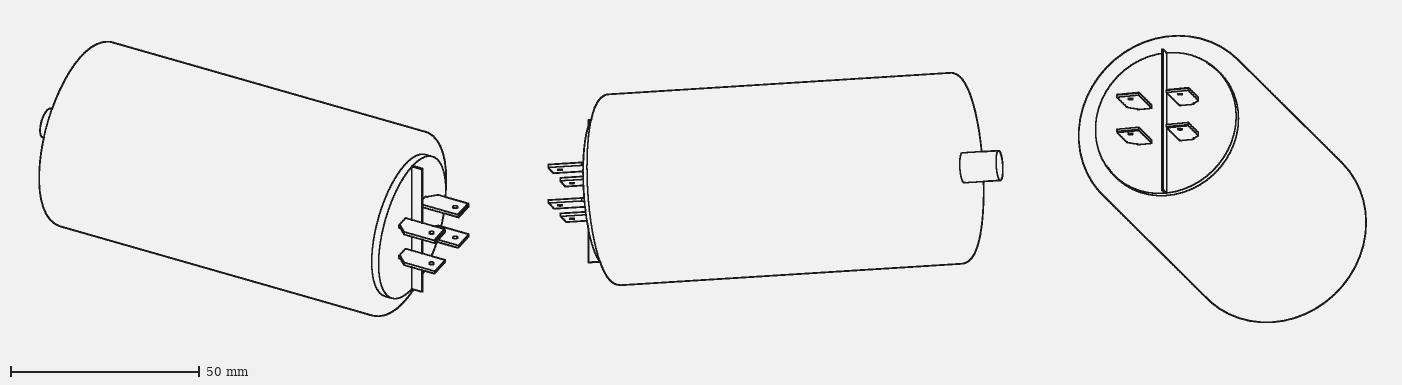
import cadquery as cq

can_diameter = 51.0
can_length = 97.2
can_edge_radius = 2.0

stud_diameter = 8.0
stud_length = 9.9

cover_diameter = 39.2
cover_thickness = 2.0

divider_depth = 3.1
divider_thickness = 0.5
divider_edge_chamfer = 0.1

overall_length = 121.0
tab_width = 6.0
tab_thickness = 0.8
tab_spacing_y = 13.8
tab_spacing_z = 9.8
tab_neck_length = 0.5
tab_shoulder = 2.2
tab_tip_chamfer = 0.2
tab_hole_diameter = 1.2
tab_hole_from_tip = 2.5

can_start = stud_length
can_end = can_start + can_length
cover_face = can_end + cover_thickness
tab_length = overall_length - cover_face


def disc(start, length, diameter):
    """Solid cylinder along X, from start to start + length."""
    return cq.Workplane("YZ", origin=(start, 0, 0)).circle(diameter / 2).extrude(length)


def divider():
    """Thin wall standing on the cover and as tall as its diameter, with its free edge chamfered."""
    wall = cq.Workplane("XY").box(
        divider_depth, divider_thickness, cover_diameter, centered=(False, True, True)
    )
    wall = wall.faces(">X").edges("|Z").chamfer(divider_edge_chamfer)
    return wall.translate((cover_face, 0, 0))


def tab():
    """Tab in the +Y +Z quadrant: outer edge shouldered, outer face bevelled at the tip."""
    half_width = tab_width / 2
    neck_y = half_width - tab_shoulder
    shoulder_end = tab_neck_length + tab_shoulder
    blade = (
        cq.Workplane("XY")
        .moveTo(0, -half_width)
        .lineTo(tab_length, -half_width)
        .lineTo(tab_length, half_width)
        .lineTo(shoulder_end, half_width)
        .lineTo(tab_neck_length, neck_y)
        .lineTo(0, neck_y)
        .close()
        .extrude(tab_thickness / 2, both=True)
    )
    blade = blade.faces(">X").edges(">Z").chamfer(tab_tip_chamfer)
    hole = (
        cq.Workplane("XY")
        .center(tab_length - tab_hole_from_tip, 0)
        .circle(tab_hole_diameter / 2)
        .extrude(tab_thickness, both=True)
    )
    return blade.cut(hole).translate((cover_face, tab_spacing_y / 2, tab_spacing_z / 2))


can = disc(can_start, can_length, can_diameter).edges().fillet(can_edge_radius)
stud = disc(0, stud_length, stud_diameter)
cover = disc(can_end, cover_thickness, cover_diameter)

result = can.union(stud).union(cover).union(divider())

upper_tabs = tab().union(tab().mirror("XZ"))
result = result.union(upper_tabs).union(upper_tabs.mirror("XY"))